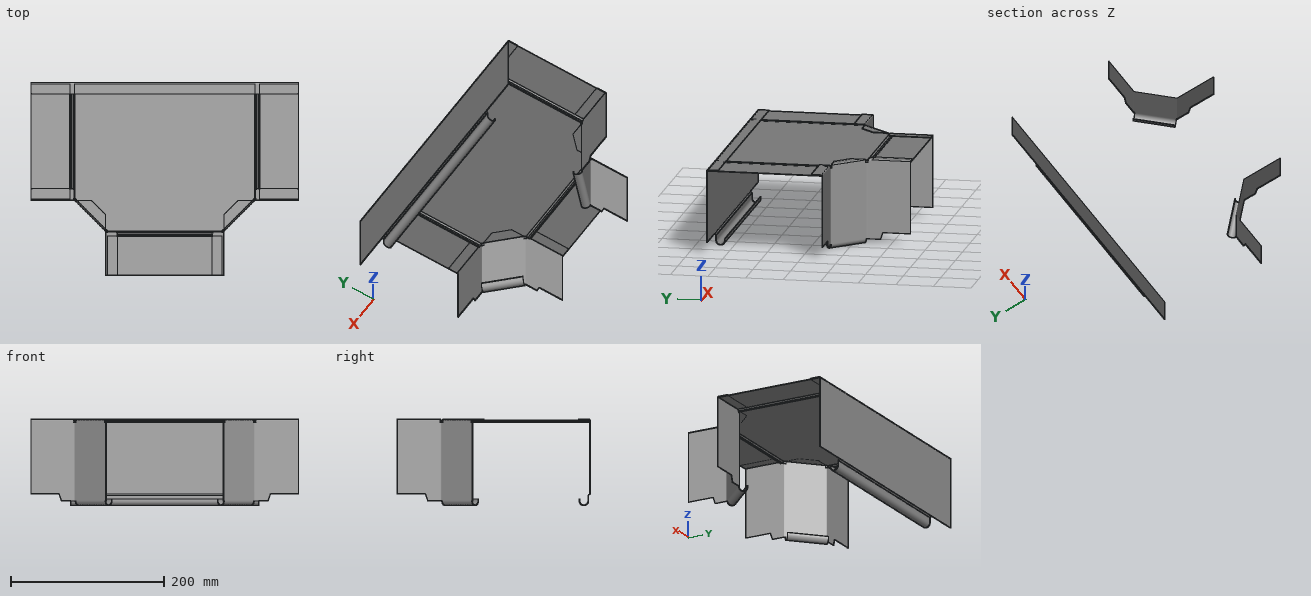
import cadquery as cq
import math

length = 350.0
depth = 252.5
height = 113.0
arm_width = 154.5
arm_length = 57.5
sheet = 1.0

bend_radius = 2.0
flange_width = 15.5
flange_corner_radius = 2.0
relief_depth = 4.2
arm_setback = 1.0
diagonal_setback = 1.8
skirt_depth = 97.7
step_start = 36.8
step_end = 40.0

hook_radius = 6.3
hook_tip_depth = 104.5
back_hook_length = 245.8
back_joggle = 2.0

groove_depth = 2.0
groove_floor = 2.0
groove_width = groove_floor + 2 * groove_depth

hook_axis_depth = height - hook_radius
corner_x = length / 2 - arm_length
branch_x = arm_width / 2
corner_y = branch_x - corner_x - arm_width
half_turn = math.tan(math.radians(45 / 2))

side_end = (-length / 2, -arm_width)
side_corner = (-corner_x, -arm_width)
branch_corner = (-branch_x, corner_y)
branch_end = (-branch_x, -depth)


def wall_plane(start, end):
    """Cross-section plane at start: local x points inward, local y up, the normal towards end."""
    along_x, along_y = end[0] - start[0], end[1] - start[1]
    return cq.Plane(origin=(*start, 0), xDir=(-along_y, along_x, 0), normal=(along_x, along_y, 0))


def sweep_section(section, start, end, start_gap=0.0, end_gap=0.0):
    """Extrude a section drawn by section(workplane) from start to end, short by the gaps."""
    span = math.dist(start, end) - start_gap - end_gap
    return section(cq.Workplane(wall_plane(start, end)).workplane(offset=start_gap)).extrude(span)


def flange_section(work):
    """Inward flange, bend and the short strip of wall under it."""
    middle = math.sqrt(0.5)
    outer_mid = bend_radius * (1 - middle)
    inner_mid = bend_radius - (bend_radius - sheet) * middle
    return (
        work.moveTo(0, -relief_depth)
        .lineTo(0, -bend_radius)
        .threePointArc((outer_mid, -outer_mid), (bend_radius, 0))
        .lineTo(flange_width, 0)
        .lineTo(flange_width, -sheet)
        .lineTo(bend_radius, -sheet)
        .threePointArc((inner_mid, -inner_mid), (sheet, -bend_radius))
        .lineTo(sheet, -relief_depth)
        .close()
    )


def hook_curve(work, face):
    """From the outer wall face, round the hook to its tip and back to the inner wall face."""
    axis = face + hook_radius
    inner_radius = hook_radius - sheet
    return (
        work.lineTo(face, -hook_axis_depth)
        .threePointArc((axis, -height), (axis + hook_radius, -hook_axis_depth))
        .lineTo(axis + hook_radius, -hook_tip_depth)
        .lineTo(axis + inner_radius, -hook_tip_depth)
        .lineTo(axis + inner_radius, -hook_axis_depth)
        .threePointArc((axis, sheet - height), (face + sheet, -hook_axis_depth))
    )


def plain_hook_section(work):
    """Hook straight below a wall, starting level with the hook tip."""
    return hook_curve(work.moveTo(0, -hook_tip_depth), 0).lineTo(sheet, -hook_tip_depth).close()


def joggled_hook_section(work):
    """Hook stepped inward from the wall above it."""
    joggle_end = skirt_depth + back_joggle
    outer = work.moveTo(0, -skirt_depth).lineTo(back_joggle, -joggle_end)
    inner = hook_curve(outer, back_joggle).lineTo(back_joggle + sheet, -joggle_end)
    return inner.lineTo(sheet, -skirt_depth).close()


def skirt_section(work):
    """Plain wall from the bent strip down to the lower edge at the arm ends."""
    return (
        work.moveTo(0, -skirt_depth)
        .lineTo(0, -relief_depth)
        .lineTo(sheet, -relief_depth)
        .lineTo(sheet, -skirt_depth)
        .close()
    )


def arm_flange(start, end, free_side, start_gap=0.0, end_gap=0.0):
    """Flange strip with its two corners on the free side rounded."""
    strip = sweep_section(flange_section, start, end, start_gap, end_gap)
    return strip.edges("|Z").edges(free_side).fillet(flange_corner_radius)


def inset_corners(inset):
    """The two left wall corners, moved inward square to the walls by inset."""
    shift = inset * half_turn
    return [
        (side_corner[0] + shift, side_corner[1] + inset),
        (branch_corner[0] + inset, branch_corner[1] + shift),
    ]


def make_back_wall():
    right_end, left_end = (length / 2, 0), (-length / 2, 0)
    hook_gap = (length - back_hook_length) / 2
    flange = arm_flange(right_end, left_end, "<Y")
    skirt = sweep_section(skirt_section, right_end, left_end)
    hook = sweep_section(joggled_hook_section, right_end, left_end, hook_gap, hook_gap)
    return flange.union(skirt).union(hook)


def arm_end_notch(arm_end, corner):
    """Cutter for the raised lower edge of an arm wall, with its sloping step."""
    along_x, along_y = corner[0] - arm_end[0], corner[1] - arm_end[1]
    plane = cq.Plane(origin=(*arm_end, 0), xDir=(along_x, along_y, 0), normal=(along_y, -along_x, 0))
    return (
        cq.Workplane(plane)
        .moveTo(0, -skirt_depth)
        .lineTo(step_start, -skirt_depth)
        .lineTo(step_end, -hook_axis_depth)
        .lineTo(0, -hook_axis_depth)
        .close()
        .extrude(2 * sheet, both=True)
    )


def folded_walls():
    """Upright strip that follows the side arm, the diagonal and the branch arm, with rounded folds."""
    inner_side, inner_branch = inset_corners(sheet)
    outer_line = [side_end, side_corner, branch_corner, branch_end]
    inner_line = [(-branch_x + sheet, -depth), inner_branch, inner_side, (-length / 2, sheet - arm_width)]
    walls = (
        cq.Workplane("XY", origin=(0, 0, -hook_axis_depth))
        .polyline(outer_line + inner_line)
        .close()
        .extrude(hook_axis_depth - relief_depth)
    )
    for inset, radius in ((0, bend_radius), (sheet, bend_radius - sheet)):
        for x, y in inset_corners(inset):
            walls = walls.edges(cq.selectors.NearestToPointSelector((x, y, -height / 2))).fillet(radius)
    return walls.cut(arm_end_notch(side_end, side_corner)).cut(arm_end_notch(branch_end, branch_corner))


def diagonal_flange():
    """Flange of the diagonal wall, trimmed in line with the outer faces of both arms."""
    strip = sweep_section(flange_section, side_corner, branch_corner, diagonal_setback, diagonal_setback)
    trim = cq.Workplane("XY").box(length, depth, height, centered=False)
    return strip.intersect(trim.translate((-branch_x - length, -arm_width - depth, -height)))


def make_left_corner():
    """Side arm wall, diagonal wall with its hook, and branch arm wall in one folded sheet."""
    bend_run = bend_radius * half_turn
    hook = sweep_section(plain_hook_section, side_corner, branch_corner, bend_run, bend_run)
    return (
        folded_walls()
        .union(arm_flange(side_end, side_corner, ">Y", end_gap=arm_setback))
        .union(arm_flange(branch_corner, branch_end, ">X", start_gap=arm_setback))
        .union(diagonal_flange())
        .union(hook)
    )


def groove_bar(floor_width, groove_bottom):
    """Trapezoidal bar with 45 degree sides, run along every groove up to the plate's top face."""
    bar_depth = groove_bottom - sheet
    half_floor = floor_width / 2
    half_top = half_floor + bar_depth

    def section(work):
        return work.polyline([
            (-half_top, -sheet), (half_top, -sheet), (half_floor, -groove_bottom), (-half_floor, -groove_bottom),
        ]).close()

    groove_x = corner_x + groove_width / 2
    branch_y = corner_y - groove_width / 2
    front_y = bend_radius - arm_width
    half_branch = branch_x - bend_radius
    bars = sweep_section(section, (-half_branch, branch_y), (half_branch, branch_y))
    for side in (-1, 1):
        bars = bars.union(sweep_section(section, (side * groove_x, front_y), (side * groove_x, -bend_radius)))
    return bars


def make_cover_plate():
    """Tee-shaped plate under the flanges, with a pressed groove across the root of each arm."""
    left_side = [
        (-length / 2, -bend_radius),
        (-length / 2, bend_radius - arm_width),
        *inset_corners(bend_radius),
        (bend_radius - branch_x, -depth),
    ]
    right_side = [(-x, y) for x, y in reversed(left_side)]
    plate = (
        cq.Workplane("XY", origin=(0, 0, -2 * sheet))
        .polyline(left_side + right_side)
        .close()
        .extrude(sheet)
    )
    groove_bottom = sheet + groove_depth
    ridge_floor = groove_floor + 2 * sheet * half_turn
    ridges = groove_bar(ridge_floor, groove_bottom + sheet)
    return plate.union(ridges).cut(groove_bar(groove_floor, groove_bottom))


cover_plate = make_cover_plate()
back_wall = make_back_wall()
left_corner = make_left_corner()
right_corner = left_corner.mirror("YZ")

result = cq.Compound.makeCompound(
    [cover_plate.val(), back_wall.val(), left_corner.val(), right_corner.val()]
)